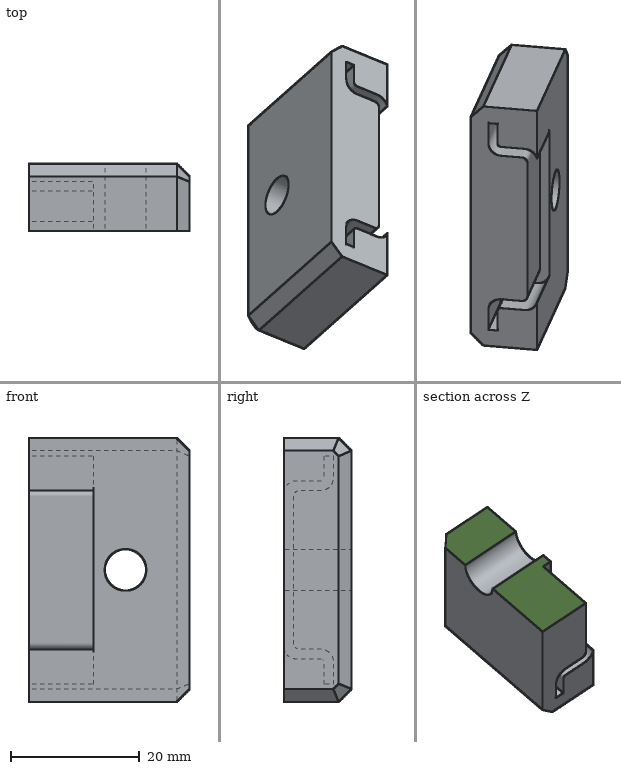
import cadquery as cq

length = 24.95
depth = 10.5
height = 41.0
bevel = 2.0

hole_diameter = 6.4
hole_x = 15.0

channel_length = 10.0
web_depth = 1.5
flange_front = 6.25
flange_back = 7.7
flange_half_height = 17.7
leg_outer = 13.8
leg_inner = leg_outer - web_depth
mouth_radius = 2.05
mouth_overrun = 0.1
core_radius = 0.9
flange_inner_radius = 0.55
flange_outer_radius = flange_inner_radius + web_depth


def mid_block(x_size, front, back, half_height):
    """Box starting at x = 0, symmetric about z = 0, between two depths."""
    return cq.Workplane("XY").box(
        x_size, back - front, 2 * half_height, centered=(False, False, True)
    ).translate((0, front, 0))


def make_body():
    body = mid_block(length, 0, depth, height / 2)
    body = body.faces(">Y").edges("|X").chamfer(bevel)
    return body.faces(">X").edges("not(<Y)").chamfer(bevel)


def make_channel():
    legs = mid_block(channel_length, -mouth_overrun, flange_front, leg_outer)
    legs = legs.faces("<Y").edges("|X").fillet(mouth_radius)
    flange = mid_block(channel_length, flange_front, flange_back, flange_half_height)
    envelope = legs.union(flange)
    inward_corners = cq.selectors.BoxSelector(
        (0, flange_front - web_depth, -leg_outer - web_depth),
        (channel_length, flange_front + web_depth / 2, leg_outer + web_depth),
    )
    envelope = envelope.edges("|X").edges(inward_corners).fillet(flange_inner_radius)

    core = mid_block(channel_length, web_depth, flange_back, leg_inner)
    core = core.faces("<Y").edges("|X").fillet(core_radius)
    foot = mid_block(channel_length, flange_back - flange_outer_radius, flange_back,
                     leg_inner + flange_outer_radius)
    for side in (-1, 1):
        corner = (
            cq.Workplane("YZ")
            .center(flange_back - flange_outer_radius, side * (leg_inner + flange_outer_radius))
            .circle(flange_outer_radius)
            .extrude(channel_length)
        )
        foot = foot.cut(corner)
    return envelope.cut(core).cut(foot)


hole = cq.Workplane("XZ").center(hole_x, 0).circle(hole_diameter / 2).extrude(-depth)
result = make_body().cut(make_channel()).cut(hole)